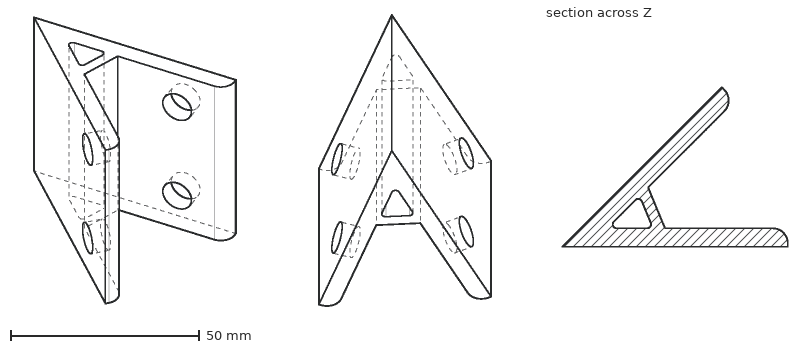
import cadquery as cq
import math

leg_length = 60.0
leg_thickness = 5.0
leg_angle = 45.0
height = 52.0
tip_radius = 4.0
web_reach = 27.35
web_thickness = 3.0
cavity_radius = 1.0
hole_diameter = 8.5
hole_distance = 45.0
hole_spacing = 30.0

half_angle = math.radians(leg_angle / 2)
inner_apex_x = leg_thickness / math.tan(half_angle)
cavity_reach = web_reach - web_thickness / math.cos(half_angle)


def on_second_leg(x, y):
    """Mirror a point of the first leg across the bisector of the legs."""
    c = math.cos(2 * half_angle)
    s = math.sin(2 * half_angle)
    return (x * c + y * s, x * s - y * c)


def make_leg():
    """Leg along X with its inner tip edge rounded."""
    return (
        cq.Workplane("XY")
        .polyline([
            (0, 0),
            (leg_length, 0),
            (leg_length, leg_thickness),
            (inner_apex_x, leg_thickness),
        ])
        .close()
        .extrude(height)
        .edges("|Z and >X and >Y")
        .fillet(tip_radius)
    )


def drill_leg(leg):
    """Two plain holes through the leg, centred over the height."""
    for side in (-1, 1):
        z = height / 2 + side * hole_spacing / 2
        hole = cq.Solid.makeCylinder(
            hole_diameter / 2,
            leg_thickness,
            cq.Vector(hole_distance, 0, z),
            cq.Vector(0, 1, 0),
        )
        leg = leg.cut(cq.Workplane(hole))
    return leg


def triangle_prism(reach):
    """Prism filling the corner between the legs out to the given reach."""
    return (
        cq.Workplane("XY")
        .polyline([
            (inner_apex_x, leg_thickness),
            (reach, leg_thickness),
            on_second_leg(reach, leg_thickness),
        ])
        .close()
        .extrude(height)
    )


first_leg = drill_leg(make_leg())
second_leg = first_leg.mirror("XZ").rotate((0, 0, 0), (0, 0, 1), leg_angle)
cavity = triangle_prism(cavity_reach).edges("|Z").fillet(cavity_radius)

result = (
    first_leg.union(second_leg)
    .union(triangle_prism(web_reach))
    .cut(cavity)
)